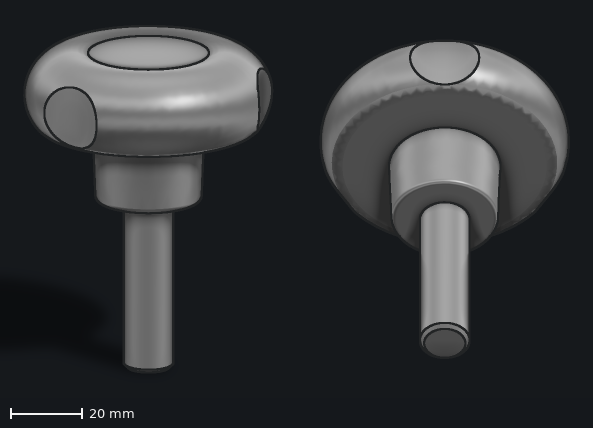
import cadquery as cq
import math

stud_diameter = 14.0
stud_length = 49.0
stud_chamfer = 1.2

hub_height = 21.0
hub_bottom_radius = 15.0
hub_top_radius = 15.7
hub_edge_fillet = 1.5

total_height = 93
knob_radius = 35.0
rim_radius = 13.0
disc_radius = 17.0
underside_fillet = 4.0

scallop_count = 3
scallop_radius = 50.0 / 2
scallop_floor = 31.6
first_scallop_angle = -90

knob_bottom = stud_length + hub_height
rim_centre_z = total_height - rim_radius
rim_centre_radius = knob_radius - rim_radius


def rim_height(radius):
    """Height of the rim circle above or below its centre at a distance from the knob axis."""
    return math.sqrt(rim_radius**2 - (radius - rim_centre_radius) ** 2)


def make_knob():
    disc_z = rim_centre_z + rim_height(disc_radius)
    underside_drop = rim_centre_z - knob_bottom
    underside_radius = rim_centre_radius + math.sqrt(rim_radius**2 - underside_drop**2)
    knob = (
        cq.Workplane("XZ")
        .moveTo(0, knob_bottom)
        .lineTo(underside_radius, knob_bottom)
        .threePointArc((knob_radius, rim_centre_z), (disc_radius, disc_z))
        .lineTo(0, disc_z)
        .close()
        .revolve(360, (0, 0, 0), (0, 1, 0))
    )
    return knob.faces("<Z").edges().fillet(underside_fillet)


def make_scallops():
    """Upright cylinders whose axes stand outside the knob."""
    return (
        cq.Workplane("XY")
        .workplane(offset=knob_bottom)
        .polarArray(scallop_floor + scallop_radius, first_scallop_angle, 360, scallop_count)
        .circle(scallop_radius)
        .extrude(total_height - knob_bottom)
    )


def make_hub():
    hub = (
        cq.Workplane("XY")
        .workplane(offset=stud_length)
        .circle(hub_bottom_radius)
        .workplane(offset=hub_height)
        .circle(hub_top_radius)
        .loft()
    )
    return hub.faces("<Z").edges().fillet(hub_edge_fillet)


def make_stud():
    stud = cq.Workplane("XY").circle(stud_diameter / 2).extrude(stud_length)
    return stud.faces("<Z").edges().chamfer(stud_chamfer)


result = make_knob().cut(make_scallops()).union(make_hub()).union(make_stud())